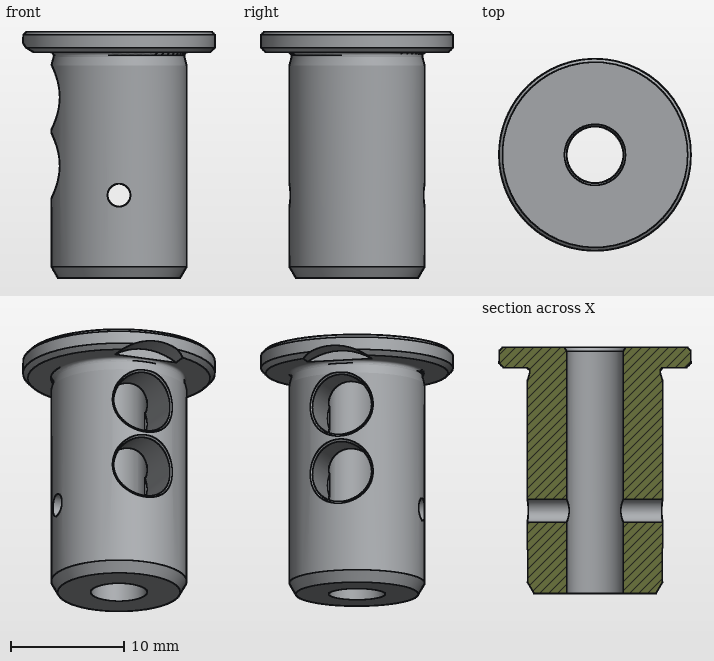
import cadquery as cq
import math

height = 21.8
flange_radius = 8.5
body_radius = 6.0
bore_radius = 2.496

flange_thickness = 1.85
flange_top_chamfer = 0.3
flange_bottom_chamfer = 0.44
bore_chamfer = 0.207
bore_chamfer_depth = 0.37

neck_radius = 5.8
neck_height = 0.4
neck_fillet = 0.25
neck_cone_height = 0.76

foot_chamfer_height = 1.0
foot_chamfer_angle = 30.0

port_radius = 2.7
port_chamfer = 0.2
upper_port_z = 16.0
port_pitch = 6.05

pin_radius = 1.0
pin_z = 7.32

clearance_radius = 5.45
clearance_top_z = 20.8


def turned_blank():
    """Solid of revolution: body, neck and flange around the Z axis."""
    foot_inset = foot_chamfer_height * math.tan(math.radians(foot_chamfer_angle))
    flange_z = height - flange_thickness
    neck_z = flange_z - neck_height
    fillet_inset = neck_fillet * (1 - math.sqrt(0.5))
    profile = (
        cq.Workplane("XZ")
        .lineTo(body_radius - foot_inset, 0)
        .lineTo(body_radius, foot_chamfer_height)
        .lineTo(body_radius, neck_z - neck_cone_height)
        .lineTo(neck_radius, neck_z)
        .lineTo(neck_radius, flange_z - neck_fillet)
        .threePointArc(
            (neck_radius + fillet_inset, flange_z - fillet_inset),
            (neck_radius + neck_fillet, flange_z),
        )
        .lineTo(flange_radius - flange_bottom_chamfer, flange_z)
        .lineTo(flange_radius, flange_z + flange_bottom_chamfer)
        .lineTo(flange_radius, height - flange_top_chamfer)
        .lineTo(flange_radius - flange_top_chamfer, height)
        .lineTo(0, height)
        .close()
    )
    return profile.revolve(360, (0, 0), (0, 1))


def bore():
    """Axial through bore with a countersunk top edge."""
    outline = [
        (0, 0),
        (bore_radius, 0),
        (bore_radius, height - bore_chamfer_depth),
        (bore_radius + bore_chamfer, height),
        (0, height),
    ]
    return cq.Workplane("XZ").polyline(outline).close().revolve(360, (0, 0), (0, 1))


def port(z):
    """Radial port from the axis out through the -X wall, with a chamfered mouth.

    The mouth is chamfered on a plain rod of the body diameter; the material removed
    from that rod is the cutter.
    """
    rod = cq.Workplane("XY").circle(body_radius).extrude(height)
    drill = cq.Workplane("YZ").center(0, z).circle(port_radius).extrude(-flange_radius)
    mouth = cq.selectors.BoxSelector(
        (-body_radius, -port_radius / 2, z - port_radius),
        (-body_radius / 2, port_radius / 2, z + port_radius),
    )
    drilled_rod = rod.cut(drill).edges(mouth).chamfer(port_chamfer)
    return rod.cut(drilled_rod)


def pin_hole():
    """Cross hole through both walls along Y."""
    return cq.Workplane("XZ").center(0, pin_z).circle(pin_radius).extrude(body_radius, both=True)


def flange_clearance():
    """Round spotface along X through the flange edge, with its floor tangent to the body."""
    return (
        cq.Workplane("YZ", origin=(-body_radius, 0, 0))
        .center(0, clearance_top_z - clearance_radius)
        .circle(clearance_radius)
        .extrude(body_radius - flange_radius)
    )


result = turned_blank().cut(bore()).cut(pin_hole()).cut(flange_clearance())
for port_z in (upper_port_z, upper_port_z - port_pitch):
    result = result.cut(port(port_z))